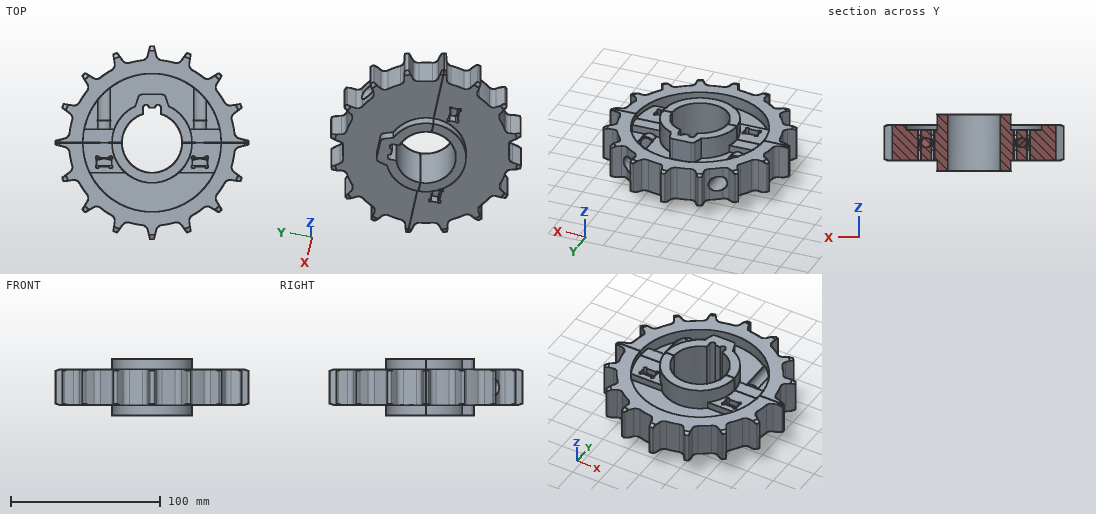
import cadquery as cq
import math

tooth_count = 16
tip_radius = 64.45
root_radius = 55.5
tip_half_width = 1.35
flank_angle = 14.0
root_fillet = 4.0
tip_fillet = 0.5
rim_width = 24.0
tip_chamfer_depth = 3.0
tip_chamfer_height = 1.1

hub_radius = 26.75
hub_width = 38.0
bore_radius = 20.0

boss_top_y = 32.2
boss_top_half_width = 8.5
boss_side_angle = 18.5
boss_fillet = 2.5

key_width = 12.0
key_floor_y = 23.3
key_relief_radius = 2.0

recess_radius = 46.2
floor_z = 3.5
bar_top_z = 8.5
bar_upper_y = 9.1
bar_lower_y = -20.0

split_gap = 0.3

screw_x = 32.0
shank_radius = 3.0
shank_length = 25.0
head_radius = 5.0
head_height = 6.0
head_chamfer = 0.5
shank_chamfer = 0.6
counterbore_radius = 5.5

nut_width = 10.0
nut_thickness = 5.0
nut_bearing_radius = 4.5
nut_chamfer_angle = 25.0
nut_center_y = -13.0
pocket_width = 10.2
pocket_length = 6.0
pocket_relief_radius = 1.0
pocket_relief_inset = 0.6

edge_tolerance = 0.01

rim_top = rim_width / 2
hub_top = hub_width / 2
tooth_pitch = 360 / tooth_count
screw_tip_y = bar_upper_y - shank_length
screw_sides = (-screw_x, screw_x)


def disc(radius, bottom, top):
    return cq.Workplane("XY").workplane(offset=bottom).circle(radius).extrude(top - bottom)


def cylinder_along_y(radius, x, start_y, end_y):
    """Cylinder parallel to Y, centred on the mid-width plane."""
    axis_direction = cq.Vector(0, 1, 0)
    start = cq.Vector(x, start_y, 0)
    return cq.Workplane(cq.Solid.makeCylinder(radius, end_y - start_y, start, axis_direction))


def toothed_rim():
    """Rim with tapered teeth, rounded at the roots and tips, with both ends of the tips chamfered."""
    rim = disc(root_radius, -rim_top, rim_top)
    foot_radius = root_radius - root_fillet
    foot_half_width = tip_half_width + (tip_radius - foot_radius) * math.tan(math.radians(flank_angle))
    tooth = (
        cq.Workplane("XY")
        .workplane(offset=-rim_top)
        .moveTo(-foot_half_width, foot_radius)
        .lineTo(-tip_half_width, tip_radius)
        .lineTo(tip_half_width, tip_radius)
        .lineTo(foot_half_width, foot_radius)
        .close()
        .extrude(rim_width)
        .edges("|Z and >Y")
        .fillet(tip_fillet)
    )
    for index in range(tooth_count):
        rim = rim.union(tooth.rotate((0, 0, 0), (0, 0, 1), index * tooth_pitch))

    root_edges = [
        edge
        for edge in rim.edges("|Z").vals()
        if math.isclose(math.hypot(edge.Center().x, edge.Center().y), root_radius, abs_tol=edge_tolerance)
    ]
    rim = rim.newObject(root_edges).fillet(root_fillet)

    chamfer_envelope = (
        cq.Workplane("XZ")
        .moveTo(0, -rim_top)
        .lineTo(tip_radius - tip_chamfer_depth, -rim_top)
        .lineTo(tip_radius, tip_chamfer_height - rim_top)
        .lineTo(tip_radius, rim_top - tip_chamfer_height)
        .lineTo(tip_radius - tip_chamfer_depth, rim_top)
        .lineTo(0, rim_top)
        .close()
        .revolve(360, (0, 0, 0), (0, 1, 0))
    )
    return rim.intersect(chamfer_envelope)


def hub():
    """Round hub with the tapered boss behind the keyway."""
    foot_half_width = boss_top_half_width + boss_top_y * math.tan(math.radians(boss_side_angle))
    boss = (
        cq.Workplane("XY")
        .workplane(offset=-hub_top)
        .moveTo(-foot_half_width, 0)
        .lineTo(-boss_top_half_width, boss_top_y)
        .lineTo(boss_top_half_width, boss_top_y)
        .lineTo(foot_half_width, 0)
        .close()
        .extrude(hub_width)
        .edges("|Z and >Y")
        .fillet(boss_fillet)
    )
    return disc(hub_radius, -hub_top, hub_top).union(boss)


def recess():
    """Space cleared from the upper face, down to the floor and around the clamping bars."""
    above_bars = disc(recess_radius, bar_top_z, hub_top)
    bar_length = bar_upper_y - bar_lower_y
    bars = (
        cq.Workplane("XY")
        .workplane(offset=floor_z)
        .center(0, (bar_upper_y + bar_lower_y) / 2)
        .rect(2 * tip_radius, bar_length)
        .extrude(bar_top_z - floor_z)
    )
    return above_bars.union(disc(recess_radius, floor_z, bar_top_z).cut(bars))


def bore_and_keyway():
    relief_x = key_width / 2 - key_relief_radius
    keyway = (
        cq.Workplane("XY")
        .workplane(offset=-hub_top)
        .center(0, key_floor_y / 2)
        .rect(key_width, key_floor_y)
        .extrude(hub_width)
    )
    reliefs = (
        cq.Workplane("XY")
        .workplane(offset=-hub_top)
        .pushPoints([(-relief_x, key_floor_y), (relief_x, key_floor_y)])
        .circle(key_relief_radius)
        .extrude(hub_width)
    )
    return disc(bore_radius, -hub_top, hub_top).union(keyway).union(reliefs)


def nut_pocket(x):
    """Rectangular pocket through the whole width, with round reliefs at its corners."""
    start = cq.Workplane("XY").workplane(offset=-rim_top).center(x, nut_center_y)
    relief_spacing = pocket_width - 2 * pocket_relief_inset
    reliefs = (
        start.rect(relief_spacing, pocket_length, forConstruction=True)
        .vertices()
        .circle(pocket_relief_radius)
        .extrude(rim_width)
    )
    return start.rect(pocket_width, pocket_length).extrude(rim_width).union(reliefs)


def screw_hole(x):
    """Shank hole through both bars and a counterbore running out through the rim."""
    shank_hole = cylinder_along_y(shank_radius, x, screw_tip_y, bar_upper_y)
    counterbore = cylinder_along_y(counterbore_radius, x, bar_upper_y, tip_radius)
    return shank_hole.union(counterbore)


def sprocket_blank():
    """Whole sprocket before it is split in two."""
    blank = toothed_rim().cut(recess()).union(hub()).cut(bore_and_keyway())
    for x in screw_sides:
        blank = blank.cut(nut_pocket(x)).cut(screw_hole(x))
    return blank


def half_space(side):
    """Block that covers everything on one side of the split: +1 is +Y, -1 is -Y."""
    cover_size = 2 * tip_radius
    center_y = side * (split_gap + cover_size) / 2
    return cq.Workplane("XY").center(0, center_y).box(cover_size, cover_size, hub_width)


def screw(x):
    """Cap screw whose head seats on the upper side of the bar."""
    head = cylinder_along_y(head_radius, x, bar_upper_y, bar_upper_y + head_height)
    head = head.faces(">Y").chamfer(head_chamfer)
    shank = cylinder_along_y(shank_radius, x, screw_tip_y, bar_upper_y)
    shank = shank.faces("<Y").chamfer(shank_chamfer)
    return head.union(shank)


def nut(x):
    """Square nut with a conical chamfer on the side facing the split."""
    upper_y = nut_center_y + nut_thickness / 2
    lower_y = nut_center_y - nut_thickness / 2
    corner_radius = nut_width / math.sqrt(2)
    chamfer_drop = (corner_radius - nut_bearing_radius) * math.tan(math.radians(nut_chamfer_angle))
    chamfer_cone = (
        cq.Workplane("XY")
        .moveTo(0, lower_y)
        .lineTo(corner_radius, lower_y)
        .lineTo(corner_radius, upper_y - chamfer_drop)
        .lineTo(nut_bearing_radius, upper_y)
        .lineTo(0, upper_y)
        .close()
        .revolve(360, (0, 0, 0), (0, 1, 0))
        .translate((x, 0, 0))
    )
    blank = cq.Workplane("XY").box(nut_width, nut_thickness, nut_width).translate((x, nut_center_y, 0))
    return blank.intersect(chamfer_cone).cut(cylinder_along_y(shank_radius, x, lower_y, upper_y))


blank = sprocket_blank()
keyed_half = blank.intersect(half_space(1))
plain_half = blank.intersect(half_space(-1))
screws = [screw(x).val() for x in screw_sides]
nuts = [nut(x).val() for x in screw_sides]

result = cq.Compound.makeCompound([keyed_half.val(), plain_half.val(), *screws, *nuts])